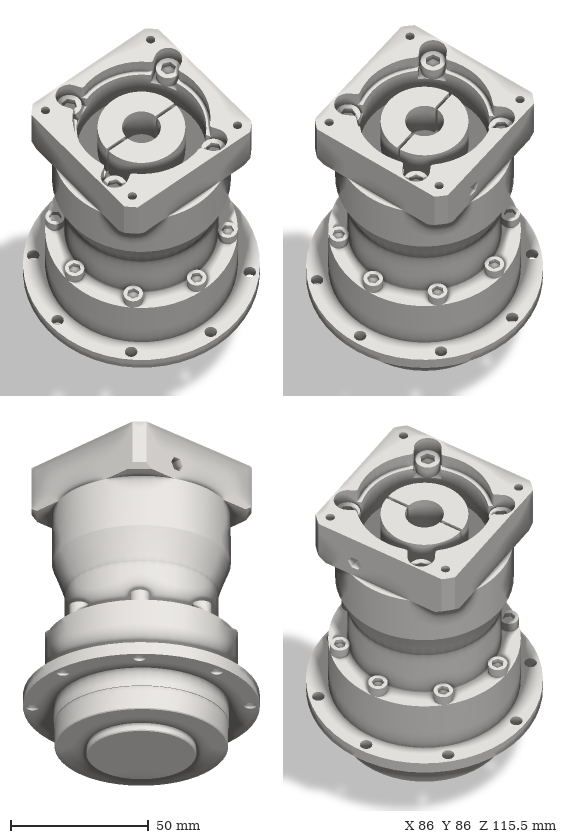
import cadquery as cq
import math

TOTAL_HEIGHT = 115.5
BOSS_TOP = 3.1
OUTPUT_TOP = 12.4
FLANGE_BOTTOM = 19.6
FLANGE_TOP = 24.4
DRUM_TOP = 45.6
NECK_TOP = 64.9
COLLAR_BOTTOM = 77.2
ADAPTER_BOTTOM = 97.1

BOSS_RADIUS = 20.0
OUTPUT_RADIUS = 31.5
PILOT_RADIUS = 31.9
FLANGE_RADIUS = 43.02
DRUM_RADIUS = 35.0
NECK_RADIUS = 28.0
COLLAR_RADIUS = 32.5
FLARE_MIDDLE_RADIUS = 30.0
NECK_FILLET = 0.7
OUTPUT_CHAMFER = 0.3

ADAPTER_WIDTH = 60.0
ADAPTER_TURNED_RADIUS = 40.0
ADAPTER_CHAMFER = 1.8
MOTOR_HOLE_SPACING = 49.5
MOTOR_HOLE_DIAMETER = 3.3
MOTOR_HOLE_DEPTH = 11.5
DRILL_TIP_ANGLE = 118.0

CENTERING_RADIUS = 25.1
CENTERING_FLOOR = 109.5
CAVITY_RADIUS = 23.6
CAVITY_FLOOR = 95.4

ADAPTER_SCREW_COUNT = 4
ADAPTER_SCREW_START_ANGLE = 30.0
ADAPTER_SCREW_CIRCLE_RADIUS = 28.0
ADAPTER_SCREW_HEAD_DIAMETER = 9.0
ADAPTER_SCREW_HEX_TURN = 7.0
ADAPTER_SCREW_TOP = 109.8
POCKET_WIDTH = 10.0
POCKET_FLOOR = 104.6
POCKET_CORNER_FILLET = 1.2
LARGE_HEX_WIDTH = 5.0
LARGE_HEX_DEPTH = 2.5

PLUG_Y = 11.0
PLUG_Z = 103.5
PLUG_SOCKET_DEPTH = 4.0

RING_COUNT = 8
DRUM_SCREW_HEAD_DIAMETER = 7.0
DRUM_SCREW_HEAD_HEIGHT = 4.0
DRUM_SCREW_CIRCLE_RADIUS = DRUM_RADIUS - DRUM_SCREW_HEAD_DIAMETER / 2
SMALL_HEX_WIDTH = 4.0
SMALL_HEX_DEPTH = 2.0
FLANGE_HOLE_CIRCLE_RADIUS = 39.5
FLANGE_HOLE_DIAMETER = 4.5

HUB_TOP = 109.6
HUB_RADIUS = 15.9
SHANK_RADIUS = 10.0
SHANK_BOTTOM = 89.2
BORE_RADIUS = 7.0
BORE_FLOOR = CAVITY_FLOOR
SLOT_WIDTH = 1.3


def disc(radius, bottom, top):
    return cq.Workplane("XY").workplane(offset=bottom).circle(radius).extrude(top - bottom)


def hexagon_corner_diameter(width_across_flats):
    return width_across_flats / math.cos(math.pi / 6)


def socket_screw_head(diameter, bottom, top, hex_width, hex_depth, hex_turn=0.0):
    """Cylindrical head on the Z axis, with a hexagon socket turned by hex_turn from a corner toward +X."""
    socket = (
        cq.Workplane("XY")
        .workplane(offset=top)
        .polygon(6, hexagon_corner_diameter(hex_width))
        .extrude(-hex_depth)
    )
    socket = socket.rotate((0, 0, 0), (0, 0, 1), hex_turn)
    return disc(diameter / 2, bottom, top).cut(socket)


def placed_on_circle(body, radius, angle):
    return body.translate((radius, 0, 0)).rotate((0, 0, 0), (0, 0, 1), angle)


def ring_angles(count, start):
    return [start + 360.0 * i / count for i in range(count)]


def turned_housing():
    flare_middle = (NECK_TOP + COLLAR_BOTTOM) / 2
    fillet_middle = NECK_FILLET * (1 - math.sqrt(0.5))
    return (
        cq.Workplane("XZ")
        .moveTo(0, OUTPUT_TOP)
        .lineTo(PILOT_RADIUS, OUTPUT_TOP)
        .lineTo(PILOT_RADIUS, FLANGE_BOTTOM)
        .lineTo(FLANGE_RADIUS, FLANGE_BOTTOM)
        .lineTo(FLANGE_RADIUS, FLANGE_TOP)
        .lineTo(DRUM_RADIUS, FLANGE_TOP)
        .lineTo(DRUM_RADIUS, DRUM_TOP)
        .lineTo(NECK_RADIUS + NECK_FILLET, DRUM_TOP)
        .threePointArc(
            (NECK_RADIUS + fillet_middle, DRUM_TOP + fillet_middle),
            (NECK_RADIUS, DRUM_TOP + NECK_FILLET),
        )
        .lineTo(NECK_RADIUS, NECK_TOP)
        .threePointArc((FLARE_MIDDLE_RADIUS, flare_middle), (COLLAR_RADIUS, COLLAR_BOTTOM))
        .lineTo(COLLAR_RADIUS, ADAPTER_BOTTOM)
        .lineTo(0, ADAPTER_BOTTOM)
        .close()
        .revolve(360, (0, 0, 0), (0, 1, 0))
    )


def adapter_block():
    """Square block whose corners are turned round and chamfered underneath."""
    height = TOTAL_HEIGHT - ADAPTER_BOTTOM
    square = (
        cq.Workplane("XY")
        .workplane(offset=ADAPTER_BOTTOM)
        .rect(ADAPTER_WIDTH, ADAPTER_WIDTH)
        .extrude(height)
    )
    turned = disc(ADAPTER_TURNED_RADIUS, ADAPTER_BOTTOM, TOTAL_HEIGHT)
    return square.intersect(turned.faces("<Z").chamfer(ADAPTER_CHAMFER))


def motor_holes():
    hole_radius = MOTOR_HOLE_DIAMETER / 2
    tip_height = hole_radius / math.tan(math.radians(DRILL_TIP_ANGLE / 2))
    drill = (
        cq.Workplane("XZ")
        .moveTo(0, TOTAL_HEIGHT)
        .lineTo(hole_radius, TOTAL_HEIGHT)
        .lineTo(hole_radius, TOTAL_HEIGHT - MOTOR_HOLE_DEPTH)
        .lineTo(0, TOTAL_HEIGHT - MOTOR_HOLE_DEPTH - tip_height)
        .close()
        .revolve(360, (0, 0, 0), (0, 1, 0))
    )
    circle_radius = MOTOR_HOLE_SPACING / math.sqrt(2)
    holes = cq.Workplane("XY")
    for angle in ring_angles(4, 45.0):
        holes = holes.add(placed_on_circle(drill, circle_radius, angle))
    return holes.combine()


def screw_pocket(bottom):
    """Round-ended radial slot, open toward the cavity."""
    depth = TOTAL_HEIGHT - bottom
    inner_end = HUB_RADIUS
    length = ADAPTER_SCREW_CIRCLE_RADIUS - inner_end
    channel = (
        cq.Workplane("XY")
        .box(length, POCKET_WIDTH, depth, centered=(False, True, False))
        .translate((inner_end, 0, bottom))
    )
    end = disc(POCKET_WIDTH / 2, bottom, TOTAL_HEIGHT)
    return channel.union(end.translate((ADAPTER_SCREW_CIRCLE_RADIUS, 0, 0)))


def centering_recess():
    """Round recess joined to the screw pockets, with rounded corners where their walls meet."""
    recess = disc(CENTERING_RADIUS, CENTERING_FLOOR, TOTAL_HEIGHT)
    upper_pocket = screw_pocket(CENTERING_FLOOR)
    for angle in ring_angles(ADAPTER_SCREW_COUNT, ADAPTER_SCREW_START_ANGLE):
        recess = recess.union(upper_pocket.rotate((0, 0, 0), (0, 0, 1), angle))
    corners = [
        edge
        for edge in recess.edges("|Z").vals()
        if math.isclose(math.hypot(edge.Center().x, edge.Center().y), CENTERING_RADIUS, abs_tol=0.1)
    ]
    return recess.newObject(corners).fillet(POCKET_CORNER_FILLET)


def plug_socket():
    return (
        cq.Workplane("YZ", origin=(-ADAPTER_WIDTH / 2, PLUG_Y, PLUG_Z))
        .polygon(6, hexagon_corner_diameter(LARGE_HEX_WIDTH))
        .extrude(PLUG_SOCKET_DEPTH)
    )


def make_housing():
    housing = turned_housing().union(adapter_block())
    housing = housing.cut(centering_recess())
    housing = housing.cut(disc(CAVITY_RADIUS, CAVITY_FLOOR, CENTERING_FLOOR))
    housing = housing.cut(disc(SHANK_RADIUS, SHANK_BOTTOM, CAVITY_FLOOR))
    housing = housing.cut(motor_holes()).cut(plug_socket())

    pocket = screw_pocket(POCKET_FLOOR)
    adapter_screw = socket_screw_head(
        ADAPTER_SCREW_HEAD_DIAMETER,
        POCKET_FLOOR,
        ADAPTER_SCREW_TOP,
        LARGE_HEX_WIDTH,
        LARGE_HEX_DEPTH,
        ADAPTER_SCREW_HEX_TURN,
    )
    for angle in ring_angles(ADAPTER_SCREW_COUNT, ADAPTER_SCREW_START_ANGLE):
        housing = housing.cut(pocket.rotate((0, 0, 0), (0, 0, 1), angle))
        housing = housing.union(placed_on_circle(adapter_screw, ADAPTER_SCREW_CIRCLE_RADIUS, angle))

    drum_screw = socket_screw_head(
        DRUM_SCREW_HEAD_DIAMETER,
        DRUM_TOP,
        DRUM_TOP + DRUM_SCREW_HEAD_HEIGHT,
        SMALL_HEX_WIDTH,
        SMALL_HEX_DEPTH,
    )
    flange_hole = disc(FLANGE_HOLE_DIAMETER / 2, FLANGE_BOTTOM, FLANGE_TOP)
    for angle in ring_angles(RING_COUNT, 0.0):
        housing = housing.union(placed_on_circle(drum_screw, DRUM_SCREW_CIRCLE_RADIUS, angle))
        housing = housing.cut(placed_on_circle(flange_hole, FLANGE_HOLE_CIRCLE_RADIUS, angle))
    return housing


def make_clamping_hub():
    """Slotted clamping head on a shank that sits in the cavity floor."""
    hub = disc(HUB_RADIUS, CAVITY_FLOOR, HUB_TOP).union(disc(SHANK_RADIUS, SHANK_BOTTOM, CAVITY_FLOOR))
    hub = hub.cut(disc(BORE_RADIUS, BORE_FLOOR, HUB_TOP))
    slot = (
        cq.Workplane("XY")
        .box(SLOT_WIDTH, 2 * HUB_RADIUS, HUB_TOP - CAVITY_FLOOR, centered=(True, True, False))
        .translate((0, 0, CAVITY_FLOOR))
    )
    return hub.cut(slot)


def make_output_flange():
    plate = disc(OUTPUT_RADIUS, BOSS_TOP, OUTPUT_TOP).faces("<Z").chamfer(OUTPUT_CHAMFER)
    boss = disc(BOSS_RADIUS, 0, BOSS_TOP).faces("<Z").chamfer(OUTPUT_CHAMFER)
    return plate.union(boss)


housing = make_housing()
clamping_hub = make_clamping_hub()
output_flange = make_output_flange()

result = cq.Compound.makeCompound([housing.val(), clamping_hub.val(), output_flange.val()])